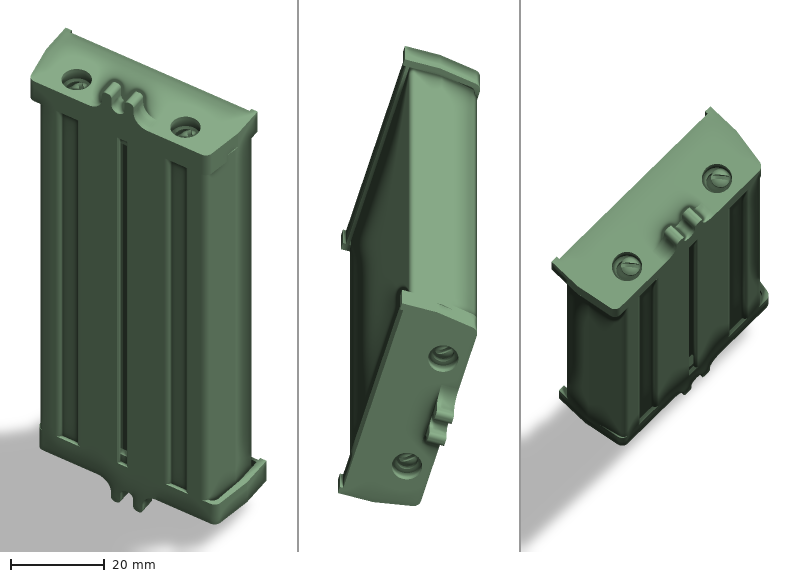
import cadquery as cq
import math

total_length = 120.2
total_width = 50.6
total_thickness = 17.5
front_y = -total_thickness / 2

housing_width = 46.2
housing_thickness = 15.7
housing_end_z = 50.2
housing_kink_height = 8.7
housing_taper_inset = 2.2
housing_front_radius = 1.5
housing_back_radius = 1.1

groove_offset = 13.7
groove_floor_width = 4.1
groove_depth = 1.1

slot_width = 1.9
slot_lip_chamfer = 0.4
slot_lip_depth = 0.8
slot_cavity_width = 4.1
slot_cavity_depth = 3.5

cap_width = (total_width + housing_width) / 2
cap_shift = (cap_width - housing_width) / 2
cap_outer_z = 54.2
cap_rim_z = 48.3
cap_kink_height = 9.7
cap_taper_inset = 1.7
cap_front_radius = 1.7
ear_width = 1.6
ear_height = 0.7

pocket_side_wall = ear_width
pocket_front_wall = 0.8
pocket_back_wall = 0.7
pocket_taper_inset = 1.1

tab_reach = 2.2
tab_depth = 2.4

lug_width = 7.9
lug_thickness = 3.8
lug_flare_radius = 3.5
lug_tip_radius = 1.0
fork_width = 3.2
fork_floor_height = 1.3

screw_offset = groove_offset
screw_y = -3.5
counterbore_radius = 3.2
counterbore_depth = 2.8
clearance_radius = 2.3
head_radius = 2.0
head_rim_height = 0.5
head_dome_height = 0.8
shank_radius = 1.1
shank_length = 9.6
drive_slot_width = 1.0
drive_slot_depth = 0.8
drive_slot_angle = -50
head_seat_z = cap_outer_z - counterbore_depth

end_turns = (0, 180)


def tapered_prism(width, thickness, kink_height, inset, front_radius, front, z_low, z_high):
    """Prism with straight rear sides, sides tapering towards the front, and rounded front edges."""
    half = width / 2
    outline = [
        (-half + inset, front),
        (half - inset, front),
        (half, front + kink_height),
        (half, front + thickness),
        (-half, front + thickness),
        (-half, front + kink_height),
    ]
    prism = cq.Workplane("XY").workplane(offset=z_low).polyline(outline).close().extrude(z_high - z_low)
    return prism.edges("|Z and <Y").fillet(front_radius)


def front_channel(width, depth):
    """Box as long as the housing, reaching into the middle of the front face to the given depth."""
    return (
        cq.Workplane("XY")
        .box(width, depth, 2 * housing_end_z, centered=(True, False, True))
        .translate((0, front_y, 0))
    )


def rounded_groove(center_x):
    """Groove cutter whose walls are convex quarter rounds as high as the groove is deep."""
    floor_half = groove_floor_width / 2
    mouth_half = floor_half + groove_depth
    bulge = groove_depth * (1 - math.sqrt(0.5))
    floor_y = front_y + groove_depth
    return (
        cq.Workplane("XY")
        .workplane(offset=-housing_end_z)
        .moveTo(center_x - mouth_half, front_y)
        .threePointArc((center_x - floor_half - bulge, front_y + bulge), (center_x - floor_half, floor_y))
        .lineTo(center_x + floor_half, floor_y)
        .threePointArc((center_x + floor_half + bulge, front_y + bulge), (center_x + mouth_half, front_y))
        .close()
        .extrude(2 * housing_end_z)
    )


def slot_mouth():
    """Chamfered mouth of the T-slot."""
    mouth_half = slot_width / 2 + slot_lip_chamfer
    outline = [
        (-mouth_half, front_y),
        (mouth_half, front_y),
        (slot_width / 2, front_y + slot_lip_chamfer),
        (-slot_width / 2, front_y + slot_lip_chamfer),
    ]
    return (
        cq.Workplane("XY")
        .workplane(offset=-housing_end_z)
        .polyline(outline)
        .close()
        .extrude(2 * housing_end_z)
    )


def make_housing():
    body = tapered_prism(
        housing_width, housing_thickness, housing_kink_height, housing_taper_inset,
        housing_front_radius, front_y, -housing_end_z, housing_end_z,
    )
    body = body.edges("|Z and >Y").fillet(housing_back_radius)
    for side in (-1, 1):
        body = body.cut(rounded_groove(side * groove_offset))
    cavity = front_channel(slot_cavity_width, slot_cavity_depth).cut(
        front_channel(slot_cavity_width, slot_lip_depth)
    )
    body = body.cut(cavity).cut(front_channel(slot_width, slot_lip_depth)).cut(slot_mouth())
    for turn in end_turns:
        for side in (-1, 1):
            body = body.cut(at_end(make_shank(side * screw_offset), turn))
    return body


def make_lug():
    """Forked lug with flared root, standing on the outer end of the top cap."""
    half = lug_width / 2
    flare_half = half + lug_flare_radius
    flare_top = cap_outer_z + lug_flare_radius
    bulge = lug_flare_radius * (1 - math.sqrt(0.5))
    top = total_length / 2
    plate = (
        cq.Workplane("XZ", origin=(-cap_shift, front_y, 0))
        .moveTo(-flare_half, cap_outer_z)
        .threePointArc((-half - bulge, cap_outer_z + bulge), (-half, flare_top))
        .lineTo(-half, top)
        .lineTo(half, top)
        .lineTo(half, flare_top)
        .threePointArc((half + bulge, cap_outer_z + bulge), (flare_half, cap_outer_z))
        .close()
        .extrude(-lug_thickness)
    )
    fork_radius = fork_width / 2
    fork_floor = cap_outer_z + fork_floor_height
    fork = (
        cq.Workplane("XZ", origin=(-cap_shift, front_y, 0))
        .moveTo(-fork_radius, top)
        .lineTo(-fork_radius, fork_floor + fork_radius)
        .threePointArc((0, fork_floor), (fork_radius, fork_floor + fork_radius))
        .lineTo(fork_radius, top)
        .close()
        .extrude(-lug_thickness)
    )
    return plate.cut(fork).faces(">Z").edges("|Y").fillet(lug_tip_radius)


def make_top_cap(housing):
    body = tapered_prism(
        cap_width, total_thickness, cap_kink_height, cap_taper_inset,
        cap_front_radius, front_y, cap_rim_z, cap_outer_z,
    ).translate((-cap_shift, 0, 0))

    cap_height = cap_outer_z - cap_rim_z
    recess = cq.Workplane("XY").box(
        cap_width - 2 * ear_width, ear_height, cap_height, centered=(True, False, False)
    )
    body = body.cut(recess.translate((-cap_shift, total_thickness / 2 - ear_height, cap_rim_z)))

    pocket_thickness = total_thickness - ear_height - pocket_front_wall - pocket_back_wall
    pocket = tapered_prism(
        cap_width - 2 * pocket_side_wall, pocket_thickness, cap_kink_height - pocket_front_wall,
        pocket_taper_inset, cap_front_radius, front_y + pocket_front_wall, cap_rim_z, housing_end_z,
    ).translate((-cap_shift, 0, 0))
    body = body.cut(pocket)

    tab_tip_z = cap_rim_z - tab_reach
    tab = cq.Workplane("XY").box(
        slot_cavity_width,
        tab_depth - slot_lip_depth,
        housing_end_z - tab_tip_z,
        centered=(True, False, False),
    )
    body = body.union(tab.translate((0, front_y + slot_lip_depth, tab_tip_z)))
    body = body.union(make_lug()).cut(housing)

    for side in (-1, 1):
        hole_x = side * screw_offset - cap_shift
        counterbore = cq.Workplane("XY").circle(counterbore_radius).extrude(counterbore_depth)
        body = body.cut(counterbore.translate((hole_x, screw_y, head_seat_z)))
        clearance = cq.Workplane("XY").circle(clearance_radius).extrude(head_seat_z - housing_end_z)
        body = body.cut(clearance.translate((hole_x, screw_y, housing_end_z)))
    return body


def make_shank(screw_x):
    """Shank of a screw at the top end, also the shape of its hole in the housing."""
    shank = cq.Workplane("XY").circle(shank_radius).extrude(-shank_length)
    return shank.translate((screw_x, screw_y, head_seat_z))


def make_top_screw(screw_x):
    """Domed screw with its drive slot, seated in the top cap."""
    head_height = head_rim_height + head_dome_height
    dome_radius = (head_radius**2 + head_dome_height**2) / (2 * head_dome_height)
    mid_radius = head_radius / 2
    mid_height = head_height - dome_radius + math.sqrt(dome_radius**2 - mid_radius**2)
    head = (
        cq.Workplane("XZ")
        .lineTo(head_radius, 0)
        .lineTo(head_radius, head_rim_height)
        .threePointArc((mid_radius, mid_height), (0, head_height))
        .close()
        .revolve(360, (0, 0, 0), (0, 1, 0))
    )
    drive_slot = cq.Workplane("XY").box(
        2 * head_radius, drive_slot_width, drive_slot_depth, centered=(True, True, False)
    )
    drive_slot = drive_slot.rotate((0, 0, 0), (0, 0, 1), drive_slot_angle)
    head = head.cut(drive_slot.translate((0, 0, head_height - drive_slot_depth)))
    return make_shank(screw_x).union(head.translate((screw_x, screw_y, head_seat_z)))


def at_end(body, turn):
    """Place a part made for the top end at the end that the turn about Y gives."""
    return body.rotate((0, 0, 0), (0, 1, 0), turn)


housing = make_housing()
top_cap = make_top_cap(housing)
caps = [at_end(top_cap, turn) for turn in end_turns]
screws = [at_end(make_top_screw(side * screw_offset), turn) for turn in end_turns for side in (-1, 1)]

result = cq.Compound.makeCompound(
    [housing.val(), *[cap.val() for cap in caps], *[screw.val() for screw in screws]]
)